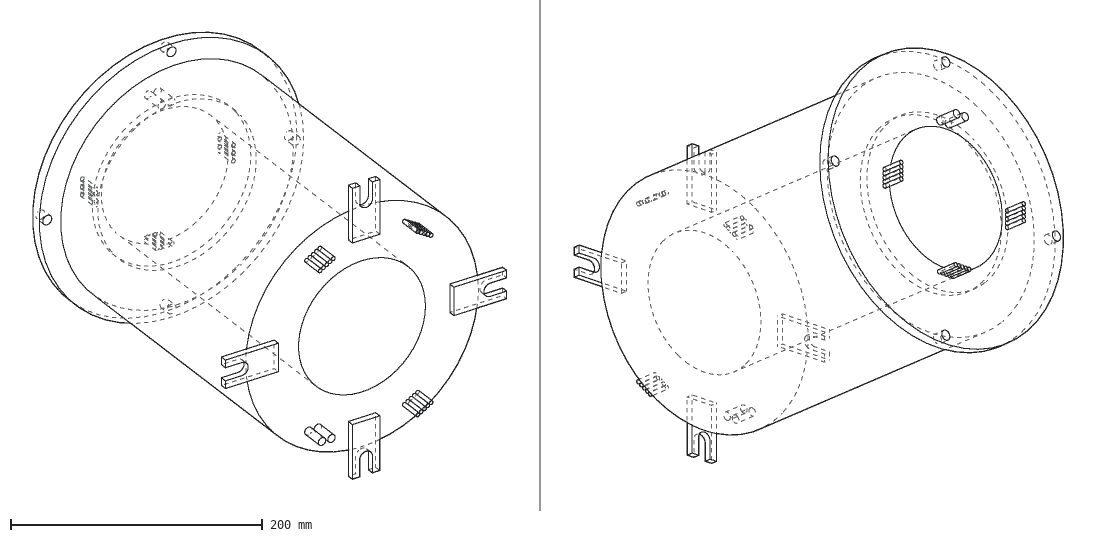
import cadquery as cq
import math

FRONT_PIN_TIP = 0.0
PIN_LENGTH = 20.0
FLANGE_THICKNESS = 10.0
NECK_LENGTH = 8.0
BODY_LENGTH = 271.0
FLANGE_FRONT = FRONT_PIN_TIP + PIN_LENGTH
FLANGE_BACK = FLANGE_FRONT + FLANGE_THICKNESS
BODY_FRONT = FLANGE_BACK + NECK_LENGTH
BODY_BACK = BODY_FRONT + BODY_LENGTH

BODY_DIAMETER = 220.0
NECK_DIAMETER = 150.0
FLANGE_DIAMETER = 250.0
BORE_DIAMETER = 120.0

QUARTER_TURNS = (0, 90, 180, 270)
BOLT_CIRCLE_RADIUS = 117.5
BOLT_HOLE_DIAMETER = 8.5

LUG_TIP_RADIUS = 133.005
LUG_ROOT_RADIUS = 83.0
LUG_WIDTH = 26.0
LUG_THICKNESS = 6.0
SLOT_WIDTH = 12.0

SMALL_PIN_DIAMETER = 3.5
SMALL_PIN_PITCH = 3.6
SMALL_PIN_COUNT = 5
LARGE_PIN_DIAMETER = 7.0
LARGE_PIN_PITCH = 9.0
LARGE_PAIR_SHIFT = 1.75
FRONT_PIN_RADIUS = 65.0
BACK_PIN_RADIUS = 92.5
BACK_PIN_ANGLE = 30.0

SMALL_ROW = [(i - (SMALL_PIN_COUNT - 1) / 2) * SMALL_PIN_PITCH for i in range(SMALL_PIN_COUNT)]
LARGE_PAIR = [side * LARGE_PIN_PITCH / 2 for side in (-1, 1)]


def disc(diameter, start, length):
    """Solid cylinder on the X axis, beginning at x = start."""
    return cq.Workplane("YZ", origin=(start, 0, 0)).circle(diameter / 2).extrude(length)


def turn(shape, angle):
    """Rotate about the X axis; positive angles turn +Y towards +Z."""
    return shape.rotate((0, 0, 0), (1, 0, 0), angle)


def make_drum():
    """Flange, neck and body with the through bore."""
    drum = disc(FLANGE_DIAMETER, FLANGE_FRONT, FLANGE_THICKNESS)
    drum = drum.union(disc(NECK_DIAMETER, FLANGE_BACK, NECK_LENGTH))
    drum = drum.union(disc(BODY_DIAMETER, BODY_FRONT, BODY_LENGTH))
    return drum.cut(disc(BORE_DIAMETER, FLANGE_FRONT, BODY_BACK - FLANGE_FRONT))


def make_bolt_holes():
    """Cutters for the four flange holes."""
    return (
        cq.Workplane("YZ", origin=(FLANGE_FRONT, 0, 0))
        .polarArray(BOLT_CIRCLE_RADIUS, 0, 360, len(QUARTER_TURNS))
        .circle(BOLT_HOLE_DIAMETER / 2)
        .extrude(FLANGE_THICKNESS)
    )


def make_lug():
    """Forked lug pointing along +Z, its slot ending in a half circle."""
    half_width = LUG_WIDTH / 2
    half_slot = SLOT_WIDTH / 2
    return (
        cq.Workplane("YZ", origin=(BODY_BACK, 0, 0))
        .moveTo(-half_width, LUG_ROOT_RADIUS)
        .lineTo(half_width, LUG_ROOT_RADIUS)
        .lineTo(half_width, LUG_TIP_RADIUS)
        .lineTo(half_slot, LUG_TIP_RADIUS)
        .lineTo(half_slot, BOLT_CIRCLE_RADIUS)
        .threePointArc((0, BOLT_CIRCLE_RADIUS - half_slot), (-half_slot, BOLT_CIRCLE_RADIUS))
        .lineTo(-half_slot, LUG_TIP_RADIUS)
        .lineTo(-half_width, LUG_TIP_RADIUS)
        .close()
        .extrude(LUG_THICKNESS)
    )


def make_pins(start, center, offsets, diameter):
    """Row of pins along Y around a (y, z) center, standing on x = start."""
    y, z = center
    return (
        cq.Workplane("YZ", origin=(start, y, z))
        .pushPoints([(offset, 0) for offset in offsets])
        .circle(diameter / 2)
        .extrude(PIN_LENGTH)
    )


def make_small_row(start, radius, angle):
    """Tangential row of small pins, turned from +Z by angle."""
    return turn(make_pins(start, (0, radius), SMALL_ROW, SMALL_PIN_DIAMETER), angle)


result = make_drum().cut(make_bolt_holes())

for quarter in QUARTER_TURNS:
    result = result.union(turn(make_lug(), quarter))

front_pair_center = (LARGE_PAIR_SHIFT, FRONT_PIN_RADIUS)
result = result.union(make_pins(FRONT_PIN_TIP, front_pair_center, LARGE_PAIR, LARGE_PIN_DIAMETER))
for angle in (90, 180, 270):
    result = result.union(make_small_row(FRONT_PIN_TIP, FRONT_PIN_RADIUS, angle))

for angle in (BACK_PIN_ANGLE, -BACK_PIN_ANGLE, 180 + BACK_PIN_ANGLE):
    result = result.union(make_small_row(BODY_BACK, BACK_PIN_RADIUS, angle))
back_pair_center = (
    -BACK_PIN_RADIUS * math.sin(math.radians(BACK_PIN_ANGLE)),
    -BACK_PIN_RADIUS * math.cos(math.radians(BACK_PIN_ANGLE)),
)
result = result.union(make_pins(BODY_BACK, back_pair_center, LARGE_PAIR, LARGE_PIN_DIAMETER))